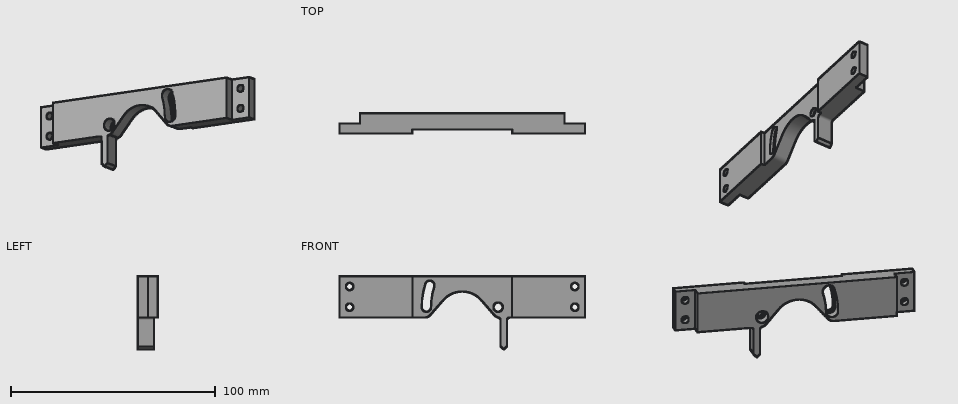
import cadquery as cq
import math

length = 120.0
depth = 10.0
total_height = 35.9
bar_height = 20.3
bottom = -bar_height

end_length = 10.0
end_thickness = depth / 2
recess_width = 48.8
recess_depth = 1.9

mount_hole_diameter = 3.5
mount_hole_x = length / 2 - end_length / 2
mount_hole_drops = (5.0, 15.1)

pivot_diameter = 4.5
pivot_x = 17.5
pivot_z = -15.1
pivot = (pivot_x, pivot_z)
slot_radius = 2 * pivot_x
slot_sweep = 17.7

rear_width = 6.0
rear_start = 2 * recess_depth

arch_drop = 7.5
arch_radius = 12.4
flank_angle = 49.0
lip_radius = 3.6

pin_width = 3.2
pin_x = 20.3
pin_tip_height = pin_width / 2
pin_fillet = 1.2
pin_overlap = 0.6


def polar(center, radius, degrees):
    angle = math.radians(degrees)
    return (center[0] + radius * math.cos(angle), center[1] + radius * math.sin(angle))


def front_sketch():
    """XZ sketch plane on the front face; extrude negative to go into the part."""
    return cq.Workplane("XZ")


def make_bar():
    bar = cq.Workplane("XY").box(length, depth, bar_height, centered=(True, False, False))
    bar = bar.translate((0, 0, bottom))
    for side in (-1, 1):
        step = cq.Workplane("XY").box(end_length, depth - end_thickness, bar_height)
        step_x = side * (length - end_length) / 2
        step_y = (depth + end_thickness) / 2
        bar = bar.cut(step.translate((step_x, step_y, bottom / 2)))
    recess = cq.Workplane("XY").box(recess_width, recess_depth, bar_height)
    return bar.cut(recess.translate((0, recess_depth / 2, bottom / 2)))


def make_arch():
    """Round crown, tangent straight flanks and rounded lips at the lower edge."""
    center = (0, -arch_drop - arch_radius)
    crown_x, crown_z = polar(center, arch_radius, 90 - flank_angle)
    slope = math.radians(flank_angle)
    corner_x = crown_x + (crown_z - bottom) / math.tan(slope)
    lip_x = corner_x + lip_radius * math.tan(slope / 2)
    lip_center = (lip_x, bottom + lip_radius)
    lip_top_x, lip_top_z = polar(lip_center, lip_radius, 270 - flank_angle)
    lip_mid_x, lip_mid_z = polar(lip_center, lip_radius, 270 - flank_angle / 2)
    return (
        front_sketch()
        .moveTo(-lip_x, bottom)
        .threePointArc((-lip_mid_x, lip_mid_z), (-lip_top_x, lip_top_z))
        .lineTo(-crown_x, crown_z)
        .threePointArc((0, -arch_drop), (crown_x, crown_z))
        .lineTo(lip_top_x, lip_top_z)
        .threePointArc((lip_mid_x, lip_mid_z), (lip_x, bottom))
        .close()
        .extrude(-depth)
    )


def make_pin():
    """Pin with a flared root and a pointed tip, flush with the recess and the back."""
    left = pin_x - pin_width / 2
    right = pin_x + pin_width / 2
    root_z = bottom - pin_fillet
    shoulder_z = -total_height + pin_tip_height
    left_mid = polar((left - pin_fillet, root_z), pin_fillet, 45)
    right_mid = polar((right + pin_fillet, root_z), pin_fillet, 135)
    pin = (
        front_sketch()
        .moveTo(left - pin_fillet, bottom + pin_overlap)
        .lineTo(left - pin_fillet, bottom)
        .threePointArc(left_mid, (left, root_z))
        .lineTo(left, shoulder_z)
        .lineTo(pin_x, -total_height)
        .lineTo(right, shoulder_z)
        .lineTo(right, root_z)
        .threePointArc(right_mid, (right + pin_fillet, bottom))
        .lineTo(right + pin_fillet, bottom + pin_overlap)
        .close()
        .extrude(recess_depth - depth)
    )
    return pin.translate((0, recess_depth, 0))


def make_slot(width):
    """Round-ended slot of the given width, running along an arc about the pivot hole."""
    half_width = width / 2
    inner = slot_radius - half_width
    outer = slot_radius + half_width
    low_angle = 180
    high_angle = low_angle - slot_sweep
    mid_angle = low_angle - slot_sweep / 2
    band = (
        front_sketch()
        .moveTo(*polar(pivot, inner, low_angle))
        .threePointArc(polar(pivot, inner, mid_angle), polar(pivot, inner, high_angle))
        .lineTo(*polar(pivot, outer, high_angle))
        .threePointArc(polar(pivot, outer, mid_angle), polar(pivot, outer, low_angle))
        .close()
        .extrude(-depth)
    )
    end_centers = [polar(pivot, slot_radius, angle) for angle in (low_angle, high_angle)]
    return band.union(make_holes(end_centers, width))


def make_holes(centers, diameter):
    return front_sketch().pushPoints(centers).circle(diameter / 2).extrude(-depth)


mount_centers = [(side * mount_hole_x, -drop) for side in (-1, 1) for drop in mount_hole_drops]

result = make_bar().cut(make_arch()).union(make_pin())
result = result.cut(make_slot(pivot_diameter))
result = result.cut(make_holes([pivot], pivot_diameter))
result = result.cut(make_slot(rear_width).translate((0, rear_start, 0)))
result = result.cut(make_holes([pivot], rear_width).translate((0, rear_start, 0)))
result = result.cut(make_holes(mount_centers, mount_hole_diameter))